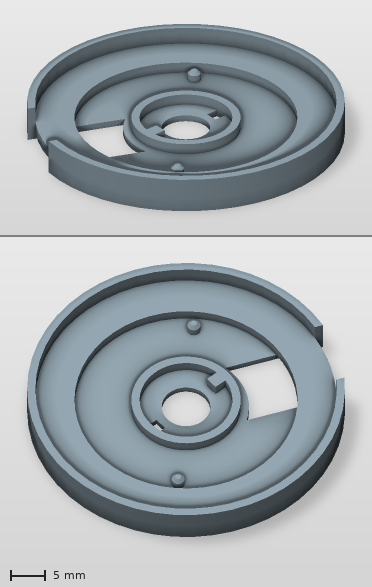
import cadquery as cq

outer_radius = 22.95
rim_height = 5.2
rim_inner_radius = 21.75
floor_thickness = 0.95
shelf_top = 2.6
well_radius = 16.1

bore_diameter = 7.0
hub_diameter = 15.8
hub_inner_radius = 6.7
hub_top = shelf_top
key_width = 1.93
key_reach = 4.75

pin_diameter = 1.9
pin_offset = 9.9
pin_height = shelf_top - floor_thickness
pin_chamfer = 0.5

slot_width = 10.0
slot_angle = 22.5
slot_inner_radius = 9.1


def disc(radius, bottom, top):
    """Solid cylinder about the Z axis between two heights."""
    return cq.Workplane("XY").workplane(offset=bottom).circle(radius).extrude(top - bottom)


def block(width, y_start, y_end, bottom, top):
    """Box centred on X = 0 that spans the given Y and Z ranges."""
    return cq.Workplane("XY").box(
        width, y_end - y_start, top - bottom, centered=(True, False, False)
    ).translate((0, y_start, bottom))


def make_dish():
    """Floor with a raised outer shelf and a taller rim."""
    dish = disc(outer_radius, 0, rim_height)
    dish = dish.cut(disc(rim_inner_radius, shelf_top, rim_height))
    return dish.cut(disc(well_radius, floor_thickness, shelf_top))


def add_hub(body):
    """Hub ring with a bore, a raised key on -Y and a key hole on +Y."""
    hub_radius = hub_diameter / 2
    ring = disc(hub_radius, 0, hub_top).cut(disc(hub_inner_radius, floor_thickness, hub_top))
    hub_wall_middle = (hub_inner_radius + hub_radius) / 2
    key = block(key_width, -hub_wall_middle, -key_reach, 0, hub_top)
    key_hole = block(key_width, key_reach, hub_inner_radius, 0, floor_thickness)
    key_hole = key_hole.intersect(disc(hub_inner_radius, 0, floor_thickness))
    bore = disc(bore_diameter / 2, 0, floor_thickness)
    return body.union(ring).union(key).cut(key_hole).cut(bore)


def add_pins(body):
    """Two pins with conical tips standing on the floor."""
    pin = disc(pin_diameter / 2, 0, floor_thickness + pin_height).faces(">Z").chamfer(pin_chamfer)
    for side in (-1, 1):
        body = body.union(pin.translate((side * pin_offset, -side * pin_offset, 0)))
    return body


def cut_slot(body):
    """Slanted slot through the floor, under the shelf and through the full rim."""
    slot = block(slot_width, -outer_radius, 0, 0, rim_height)
    slot = slot.rotate((0, 0, 0), (0, 0, 1), -slot_angle)
    floor_slot = slot.cut(disc(slot_inner_radius, 0, rim_height)).cut(
        disc(outer_radius, floor_thickness, rim_height)
    )
    rim_gap = slot.cut(disc(rim_inner_radius, 0, rim_height))
    return body.cut(floor_slot).cut(rim_gap)


result = cut_slot(add_pins(add_hub(make_dish())))